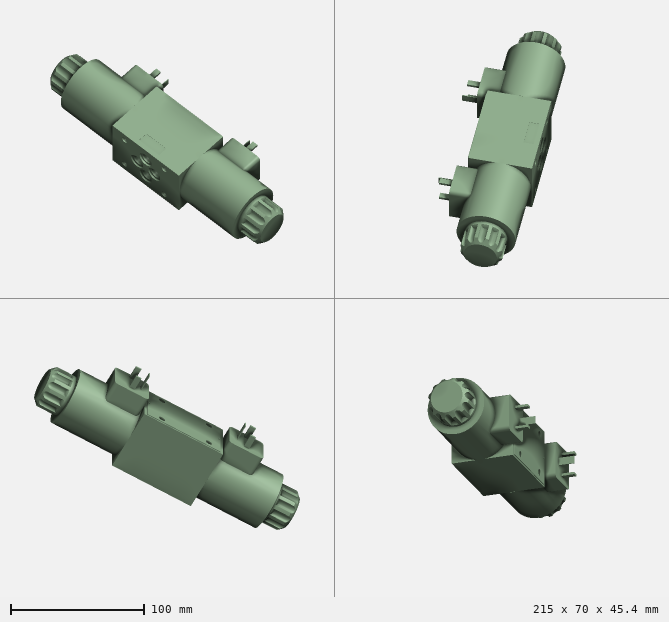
import cadquery as cq
import math


overall_length = 215.0
blade_tip_y = 70.0
axis_y = 23.6

block_length = 68.0
block_depth = 49.0
block_height = 45.0

port_offset_x = 8.8
port_offset_z = 10.5
port_diameter = 8.2
port_depth = 10.8
seal_diameter = 12.3
seal_depth = 1.3
drill_point_half_angle = 59.0
mount_hole_diameter = 5.2
mount_holes = [(-21.5, 15.5), (-21.5, -15.5), (19.0, 16.3), (19.0, -16.3)]

marking_length = 20.2
marking_width = 8.0
marking_start_y = 3.9
marking_depth = 0.2

plate_length = 63.2
plate_height = 42.5
plate_thickness = 0.6
rivet_spacing = 60.6
rivet_diameter = 1.3
rivet_height = 0.5

coil_diameter = 45.4
coil_end_x = 87.7
coil_face_diameter = 41.5
coil_face_depth = 0.2

knob_diameter = 33.1
knob_chamfer = 3.9
knob_collar = 2.5
flute_count = 12
flute_radius = 3.0
flute_depth = 2.5
flute_ramp_length = 2.0

socket_x = 49.5
socket_size = 29.2
socket_corner_radius = 3.2
socket_back_y = 57.5
blade_width = 4.5
blade_thickness = 2.0
blade_end_y = 67.7
blade_offset_z = 8.4
earth_blade_x = 41.5
earth_blade_width = 6.0
earth_blade_thickness = 0.6


def drill_point_length(radius):
    """Length of the conical tip of a drilled hole."""
    return radius / math.tan(math.radians(drill_point_half_angle))


def box_from_y(x, z, size_x, size_z, start_y, end_y):
    """Box centred on (x, z) that spans start_y to end_y."""
    depth = end_y - start_y
    return cq.Workplane("XY").box(size_x, depth, size_z).translate((x, start_y + depth / 2, z))


def rod_along_y(x, z, diameter, start_y, end_y):
    """Round rod parallel to Y."""
    return cq.Workplane("XZ", origin=(x, start_y, z)).circle(diameter / 2).extrude(start_y - end_y)


def make_block():
    block = box_from_y(0, 0, block_length, block_height, 0, block_depth)
    marking_recess = cq.Workplane("XY").box(marking_length, marking_width, 2 * marking_depth)
    marking_y = marking_start_y + marking_width / 2
    return block.cut(marking_recess.translate((0, marking_y, block_height / 2)))


def make_name_plate():
    plate_back_y = block_depth + plate_thickness
    plate = box_from_y(0, 0, plate_length, plate_height, block_depth, plate_back_y)
    for side in (-1, 1):
        rivet_x = side * rivet_spacing / 2
        plate = plate.union(
            rod_along_y(rivet_x, 0, rivet_diameter, block_depth, plate_back_y + rivet_height)
        )
    return plate


def make_port(x, z):
    """Blind drilled port with a seal counterbore at its mouth."""
    radius = port_diameter / 2
    bore = (
        cq.Workplane("XY")
        .polyline([
            (0, 0),
            (radius, 0),
            (radius, port_depth),
            (0, port_depth + drill_point_length(radius)),
        ])
        .close()
        .revolve(360, (0, 0, 0), (0, 1, 0))
        .translate((x, 0, z))
    )
    return bore.union(rod_along_y(x, z, seal_diameter, 0, seal_depth))


def make_coil():
    """Right-hand coil, standing on the side of the block, with a shallow recess in its end face."""
    coil_start_x = block_length / 2
    coil = (
        cq.Workplane("YZ", origin=(coil_start_x, axis_y, 0))
        .circle(coil_diameter / 2)
        .extrude(coil_end_x - coil_start_x)
    )
    recess_x = coil_end_x - coil_face_depth
    recess = (
        cq.Workplane("YZ", origin=(recess_x, axis_y, 0))
        .circle(coil_face_diameter / 2)
        .extrude(coil_face_depth)
    )
    return coil.cut(recess)


def make_knob():
    """Right-hand knob, with flutes cut from its outer end that ramp out at a plain collar."""
    knob_end_x = overall_length / 2
    knob_start_x = coil_end_x - coil_face_depth
    knob_radius = knob_diameter / 2
    knob = (
        cq.Workplane("YZ", origin=(knob_start_x, axis_y, 0))
        .circle(knob_radius)
        .extrude(knob_end_x - knob_start_x)
        .faces(">X")
        .chamfer(knob_chamfer)
    )

    flute_end_x = coil_end_x + knob_collar
    flute_axis_y = axis_y + knob_radius - flute_depth + flute_radius
    flute = (
        cq.Workplane("YZ", origin=(flute_end_x, flute_axis_y, 0))
        .circle(flute_radius)
        .extrude(knob_end_x - flute_end_x)
    )
    for index in range(flute_count):
        angle = index * 360 / flute_count
        knob = knob.cut(flute.rotate((0, axis_y, 0), (1, axis_y, 0), angle))

    ramp_end_x = flute_end_x + flute_ramp_length
    ramp_cone = (
        cq.Workplane("XY")
        .polyline([
            (knob_start_x, 0),
            (knob_start_x, knob_radius),
            (flute_end_x, knob_radius),
            (ramp_end_x, knob_radius - flute_depth),
            (ramp_end_x, 0),
        ])
        .close()
        .revolve(360, (0, 0, 0), (1, 0, 0))
        .translate((0, axis_y, 0))
    )
    return knob.union(ramp_cone)


def make_socket():
    """Right-hand plug socket with two contact blades and an earth blade."""
    socket = box_from_y(socket_x, 0, socket_size, socket_size, axis_y, socket_back_y)
    socket = socket.edges("|Y").fillet(socket_corner_radius)
    for side in (-1, 1):
        socket = socket.union(
            box_from_y(socket_x, side * blade_offset_z, blade_width, blade_thickness, axis_y, blade_end_y)
        )
    return socket.union(
        box_from_y(earth_blade_x, 0, earth_blade_thickness, earth_blade_width, axis_y, blade_tip_y)
    )


solenoid = make_coil().union(make_knob()).union(make_socket())
result = make_block().union(make_name_plate()).union(solenoid).union(solenoid.mirror("YZ"))

port_positions = [(port_offset_x, 0), (-port_offset_x, 0), (0, port_offset_z), (0, -port_offset_z)]
for port_x, port_z in port_positions:
    result = result.cut(make_port(port_x, port_z))

for hole_x, hole_z in mount_holes:
    result = result.cut(rod_along_y(hole_x, hole_z, mount_hole_diameter, 0, block_depth + plate_thickness))